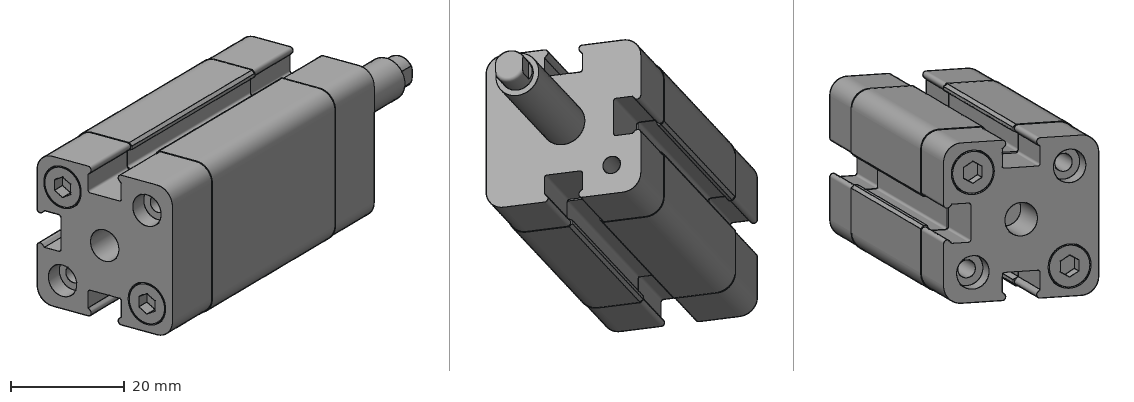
import cadquery as cq
import math

total_length = 92.5
cap_length = 12.3
barrel_length = 38.5
body_length = 2 * cap_length + barrel_length

barrel_width = 29.0
cap_width = 28.8
barrel_corner_radius = 3.4
cap_corner_radius = barrel_corner_radius - (barrel_width - cap_width) / 2

slot_corner_radius = 0.5
cap_slot_half_width = 3.5
cap_slot_floor = 9.3
cap_lip_radius = 0.65
barrel_slot_half_width = 3.6
barrel_slot_floor = 9.6
barrel_lip_half_gap = 2.6
barrel_lip_chamfer = 0.6
barrel_lip_edge_depth = 1.2
barrel_lip_depth = 1.7
slot_rotations = (0, 90, 180)

hole_offset = 9.0
through_diameter = 3.2
port_diameter = 6.0
port_depth = 3.4
center_bore_diameter = 6.0
center_bore_depth = 9.25
screw_pocket_diameter = 8.0
screw_head_diameter = 7.5
screw_head_length = 4.0
hex_across_flats = 3.4
hex_depth = 2.5

rod_diameter = 8.0
pin_diameter = 5.9
pin_length = 4.5
pin_tip_radius = 0.65
pin_flats_width = 5.0
pin_flats_length = 3.4
pin_run_out_length = 0.6


def section(y):
    """Workplane across the axis at y, with X to the right and Z up."""
    return cq.Workplane("XZ", origin=(0, y, 0))


def along(sketch, length):
    """Extrude a cross-section towards +Y."""
    return sketch.extrude(-length)


def cylinder(x, z, diameter, y, length):
    return along(section(y).center(x, z).circle(diameter / 2), length)


def arc_point(center_x, center_z, radius, angle):
    a = math.radians(angle)
    return (center_x + radius * math.cos(a), center_z + radius * math.sin(a))


def finish_slot(right_lip, half_width, floor, y, length):
    """Complete half a slot from its right lip, mirror it and extrude the cutter."""
    r = slot_corner_radius
    corner_x = half_width - r
    corner_z = floor + r
    half = (
        right_lip.lineTo(half_width, corner_z)
        .threePointArc(arc_point(corner_x, corner_z, r, -45), (corner_x, floor))
        .lineTo(0, floor)
    )
    return along(half.mirrorY(), length)


def cap_slot(y):
    """Slot whose lips have a round nose with a tangent 45-degree underside."""
    top = cap_width / 2
    wall = cap_slot_half_width
    r = cap_lip_radius
    center_z = top - r
    lip = (
        section(y).moveTo(0, top).lineTo(wall, top)
        .threePointArc((wall - r, center_z), arc_point(wall, center_z, r, 225))
        .lineTo(wall, center_z - r * math.sqrt(2))
    )
    return finish_slot(lip, wall, cap_slot_floor, y, cap_length)


def barrel_slot(y):
    """Slot whose lips are chamfered on the outside."""
    top = barrel_width / 2
    wall = barrel_slot_half_width
    gap = barrel_lip_half_gap
    lip = (
        section(y).moveTo(0, top).lineTo(gap + barrel_lip_chamfer, top)
        .lineTo(gap, top - barrel_lip_chamfer)
        .lineTo(gap, top - barrel_lip_edge_depth)
        .lineTo(wall, top - barrel_lip_depth)
    )
    return finish_slot(lip, wall, barrel_slot_floor, y, barrel_length)


def slotted_block(width, corner_radius, y, length, slot):
    block = along(section(y).rect(width, width), length).edges("|Y").fillet(corner_radius)
    for angle in slot_rotations:
        block = block.cut(slot.rotate((0, 0, 0), (0, 1, 0), -angle))
    return block


def cap(y):
    return slotted_block(cap_width, cap_corner_radius, y, cap_length, cap_slot(y))


def barrel(y):
    return slotted_block(barrel_width, barrel_corner_radius, y, barrel_length, barrel_slot(y))


def piston_rod():
    shoulder = total_length - pin_length
    rod = cylinder(0, 0, rod_diameter, body_length, shoulder - body_length)
    return rod.union(end_pin(shoulder))


def end_pin(shoulder):
    pin = cylinder(0, 0, pin_diameter, shoulder, pin_length)
    pin = pin.faces(">Y").fillet(pin_tip_radius)
    flat_x = pin_flats_width / 2
    flat_y = total_length - pin_flats_length
    outer_x = pin_diameter / 2
    flat_cutter = (
        cq.Workplane("XY")
        .moveTo(flat_x, total_length)
        .lineTo(flat_x, flat_y)
        .lineTo(outer_x, flat_y - pin_run_out_length)
        .lineTo(outer_x, total_length)
        .close()
        .extrude(outer_x, both=True)
    )
    return pin.cut(flat_cutter).cut(flat_cutter.mirror("YZ"))


def mounting_hole(x, z):
    bore = cylinder(x, z, through_diameter, 0, body_length)
    return bore.union(cylinder(x, z, port_diameter, 0, port_depth))


def screw_recess(x, z):
    """Annular gap around a flush socket-head screw, plus its hexagon socket."""
    gap = cylinder(x, z, screw_pocket_diameter, 0, screw_head_length)
    gap = gap.cut(cylinder(x, z, screw_head_diameter, 0, screw_head_length))
    hex_across_corners = hex_across_flats / math.cos(math.pi / 6)
    hexagon = section(0).center(x, z).transformed(rotate=(0, 0, 30)).polygon(6, hex_across_corners)
    return gap.union(along(hexagon, hex_depth))


result = cap(0).union(barrel(cap_length)).union(cap(cap_length + barrel_length))
result = result.union(piston_rod())
for side in (-1, 1):
    result = result.cut(mounting_hole(side * hole_offset, side * hole_offset))
    result = result.cut(screw_recess(side * hole_offset, -side * hole_offset))
result = result.cut(cylinder(0, 0, center_bore_diameter, 0, center_bore_depth))